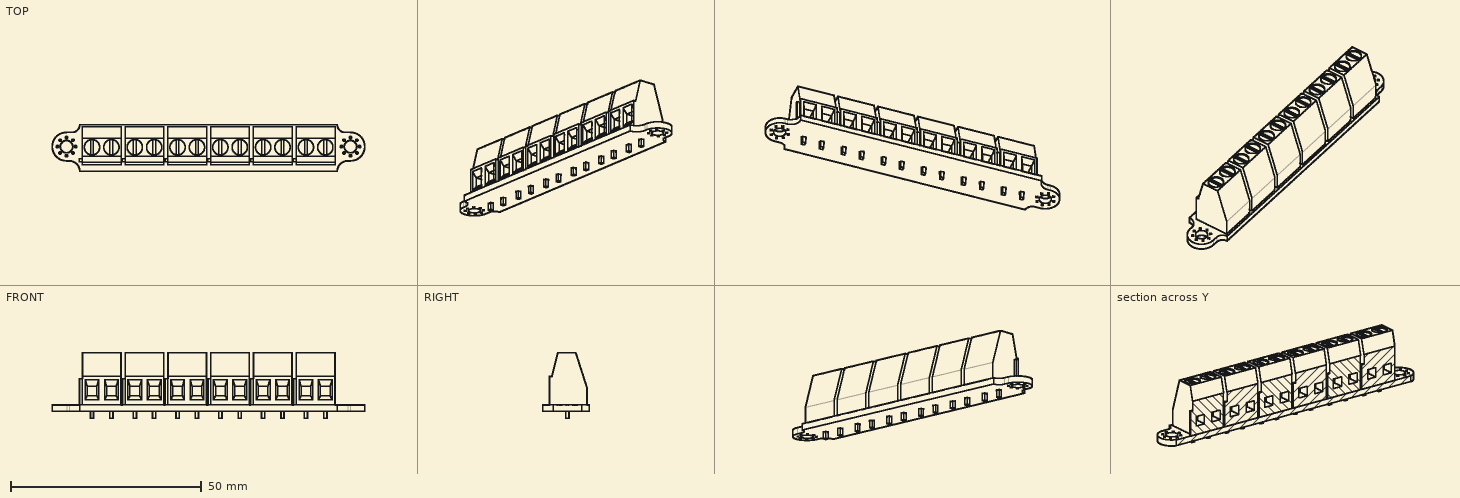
import cadquery as cq
import math

overall_length = 82.25
board_thickness = 1.7
board_front = -6.5
board_back = 5.75
lug_radius = 3.8
board_end = 33.9
mount_hole_diameter = 3.2
via_diameter = 0.5
via_count = 8
via_ring_radius = 2.4
pin_hole_diameter = 1.3
lug_center = overall_length / 2 - lug_radius

block_count = 6
row_span = 56.3
row_shift = 0.04
block_pitch = row_span / (block_count - 1)
block_width = 10.2
block_height = 13.7
block_front = -4.8
block_back = 5.2
back_wall_height = 4.5
front_wall_height = 7.5
front_ledge = 0.65
top_front = -2.55
top_back = 2.2

pole_pitch = 5.1
pin_size = 0.9
pin_reach = 1.8

screw_diameter = 4.0
screw_recess = 0.3
slot_width = 0.7
slot_depth = 0.8
screw_y = (top_front + top_back) / 2

entry_width = 3.6
entry_bottom = 1.4
entry_top = 6.7
tunnel_size = 2.55
tunnel_bottom = 2.4
funnel_depth = 0.8
tunnel_depth = 3.3

tongue_width = 0.7
tongue_front = -3.95
tongue_back = -3.2
tongue_height = 6.9

block_centers = [row_shift - row_span / 2 + i * block_pitch for i in range(block_count)]
pole_offsets = [-pole_pitch / 2, pole_pitch / 2]


def make_board():
    """Board with a rounded mounting lug at each end, joined by concave quarter arcs."""
    back_round = board_back - lug_radius
    front_round = -board_front - lug_radius
    diagonal = math.sqrt(0.5)
    arc_bulge = 1 - diagonal

    def back_arc_middle(side):
        return (side * (board_end + back_round * arc_bulge), board_back - back_round * diagonal)

    def front_arc_middle(side):
        return (side * (board_end + front_round * arc_bulge), board_front + front_round * diagonal)

    board = (
        cq.Workplane("XY")
        .moveTo(-board_end, board_back)
        .lineTo(board_end, board_back)
        .threePointArc(back_arc_middle(1), (board_end + back_round, lug_radius))
        .lineTo(lug_center, lug_radius)
        .threePointArc((overall_length / 2, 0), (lug_center, -lug_radius))
        .lineTo(board_end + front_round, -lug_radius)
        .threePointArc(front_arc_middle(1), (board_end, board_front))
        .lineTo(-board_end, board_front)
        .threePointArc(front_arc_middle(-1), (-board_end - front_round, -lug_radius))
        .lineTo(-lug_center, -lug_radius)
        .threePointArc((-overall_length / 2, 0), (-lug_center, lug_radius))
        .lineTo(-board_end - back_round, lug_radius)
        .threePointArc(back_arc_middle(-1), (-board_end, board_back))
        .close()
        .extrude(board_thickness)
    )
    lug_points = [(-lug_center, 0), (lug_center, 0)]
    mount_holes = cq.Workplane("XY").pushPoints(lug_points).circle(mount_hole_diameter / 2)
    board = board.cut(mount_holes.extrude(board_thickness))
    for lug_x, lug_y in lug_points:
        vias = (
            cq.Workplane("XY", origin=(lug_x, lug_y, 0))
            .polarArray(via_ring_radius, 0, 360, via_count)
            .circle(via_diameter / 2)
            .extrude(board_thickness)
        )
        board = board.cut(vias)
    pin_points = [(center + offset, 0) for center in block_centers for offset in pole_offsets]
    pin_holes = cq.Workplane("XY").pushPoints(pin_points).circle(pin_hole_diameter / 2)
    return board.cut(pin_holes.extrude(board_thickness))


def make_housing():
    """Terminal block body standing on Z = 0, with its alignment tongue."""
    body = (
        cq.Workplane("YZ", origin=(-block_width / 2, 0, 0))
        .polyline([
            (block_front, 0),
            (block_back, 0),
            (block_back, back_wall_height),
            (top_back, block_height),
            (top_front, block_height),
            (block_front + front_ledge, front_wall_height),
            (block_front, front_wall_height),
        ])
        .close()
        .extrude(block_width)
    )
    tongue = cq.Workplane("XY").box(
        tongue_width, tongue_back - tongue_front, tongue_height, centered=False
    ).translate((-block_width / 2 - tongue_width, tongue_front, 0))
    return body.union(tongue)


def wire_entry():
    """Cutter for one wire entry: a tapered mouth leading to a square tunnel."""
    mouth_height = entry_top - entry_bottom
    mouth_middle = (entry_bottom + entry_top) / 2
    tunnel_rise = tunnel_bottom + tunnel_size / 2 - mouth_middle
    funnel = (
        cq.Workplane("XZ", origin=(0, block_front, mouth_middle))
        .rect(entry_width, mouth_height)
        .workplane(offset=-funnel_depth)
        .center(0, tunnel_rise)
        .rect(tunnel_size, tunnel_size)
        .loft(ruled=True)
    )
    tunnel = cq.Workplane("XY").box(
        tunnel_size, tunnel_depth, tunnel_size, centered=(True, False, False)
    ).translate((0, block_front + funnel_depth, tunnel_bottom))
    return funnel.union(tunnel)


def screw_recess_cutter():
    """Cutter for one sunken screw head and its driver slot."""
    head = (
        cq.Workplane("XY", origin=(0, screw_y, block_height - screw_recess))
        .circle(screw_diameter / 2)
        .extrude(screw_recess)
    )
    slot = (
        cq.Workplane("XY", origin=(0, screw_y, block_height - slot_depth))
        .rect(slot_width, screw_diameter)
        .extrude(slot_depth)
    )
    return head.union(slot)


def make_terminal_block(center_x):
    """One two-pole terminal block with its pins, seated on the board."""
    block = make_housing()
    for offset in pole_offsets:
        block = block.cut(wire_entry().translate((offset, 0, 0)))
        block = block.cut(screw_recess_cutter().translate((offset, 0, 0)))
        pin = (
            cq.Workplane("XY", origin=(offset, 0, 0))
            .rect(pin_size, pin_size)
            .extrude(-board_thickness - pin_reach)
        )
        block = block.union(pin)
    return block.translate((center_x, 0, board_thickness))


board = make_board()
terminal_blocks = [make_terminal_block(center_x) for center_x in block_centers]

result = cq.Compound.makeCompound([board.val(), *[block.val() for block in terminal_blocks]])